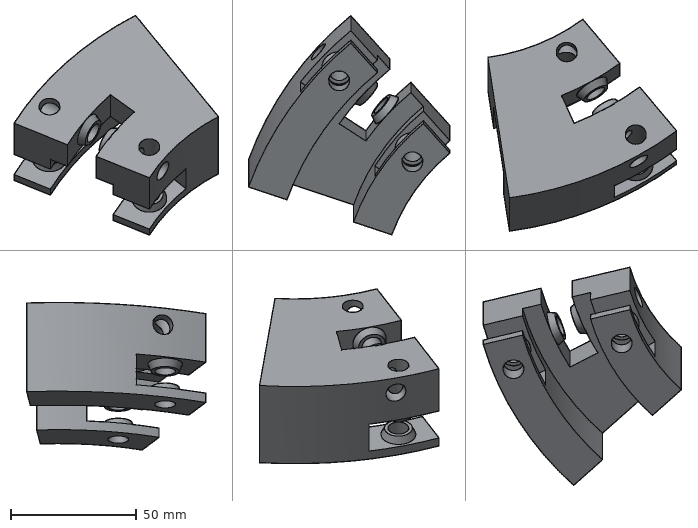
import cadquery as cq
import math

mid_radius = 110.0
body_half_width = 30.3
outer_radius = mid_radius + body_half_width
inner_radius = mid_radius - body_half_width
body_angle = 30
height = 37.8

upper_channel_angle = body_angle / 2
upper_channel_half_width = 6.4
lower_channel_half_width = 14.05
upper_channel_depth = 14.25
upper_channel_floor = height - upper_channel_depth
leg_inner_radius = mid_radius - lower_channel_half_width
leg_outer_radius = mid_radius + lower_channel_half_width

window_bottom = 4.0
window_top = 17.1
outer_window_angle = 12
inner_window_angle = 18

bore_diameter = 8.3
seat_base_diameter = 13.9
seat_tip_diameter = 11.1
seat_height = 3.1
seat_root = 0.7

cross_bore_angle = upper_channel_angle / 2
cross_bore_z = height - upper_channel_depth / 2


def polar(radius, angle):
    """Point at a radius and an angle on the arc."""
    turn = math.radians(angle)
    return (-radius * math.cos(turn), radius * math.sin(turn))


def sector(small_radius, large_radius, angle, bottom, top):
    """Ring sector from angle zero to the given angle."""
    return (
        cq.Workplane("XY", origin=(0, 0, bottom))
        .moveTo(*polar(small_radius, 0))
        .lineTo(*polar(large_radius, 0))
        .threePointArc(polar(large_radius, angle / 2), polar(large_radius, angle))
        .lineTo(*polar(small_radius, angle))
        .threePointArc(polar(small_radius, angle / 2), polar(small_radius, 0))
        .close()
        .extrude(top - bottom)
    )


def seat(center, direction):
    """Conical seat with its base at center, narrowing along direction."""
    base_radius = seat_base_diameter / 2
    tip_radius = seat_tip_diameter / 2
    axis = cq.Vector(*direction)
    base = cq.Vector(*center)
    root = cq.Solid.makeCylinder(base_radius, seat_root, base - axis * seat_root, axis)
    cone = cq.Solid.makeCone(base_radius, tip_radius, seat_height, base, axis)
    return cq.Workplane(root).union(cq.Workplane(cone))


body = sector(inner_radius, outer_radius, body_angle, 0, height)
body = body.cut(sector(leg_inner_radius, leg_outer_radius, body_angle, 0, upper_channel_floor))
body = body.cut(
    sector(
        mid_radius - upper_channel_half_width,
        mid_radius + upper_channel_half_width,
        upper_channel_angle,
        upper_channel_floor,
        height,
    )
)

legs = (
    (leg_outer_radius, outer_radius, outer_window_angle),
    (inner_radius, leg_inner_radius, inner_window_angle),
)
bores = []
for small_radius, large_radius, window_angle in legs:
    body = body.cut(sector(small_radius, large_radius, window_angle, window_bottom, window_top))
    x, y = polar((small_radius + large_radius) / 2, window_angle / 2)
    body = body.union(seat((x, y, window_bottom), (0, 0, 1)))
    body = body.union(seat((x, y, window_top), (0, 0, -1)))
    bores.append(cq.Solid.makeCylinder(bore_diameter / 2, height, cq.Vector(x, y, 0)))

outward = (*polar(1, cross_bore_angle), 0)
inward = (*polar(-1, cross_bore_angle), 0)
for wall_offset, direction in (
    (upper_channel_half_width, inward),
    (-upper_channel_half_width, outward),
):
    x, y = polar(mid_radius + wall_offset, cross_bore_angle)
    body = body.union(seat((x, y, cross_bore_z), direction))

bores.append(
    cq.Solid.makeCylinder(
        bore_diameter / 2,
        outer_radius,
        cq.Vector(0, 0, cross_bore_z),
        cq.Vector(*outward),
    )
)

for bore in bores:
    body = body.cut(cq.Workplane(bore))

result = body